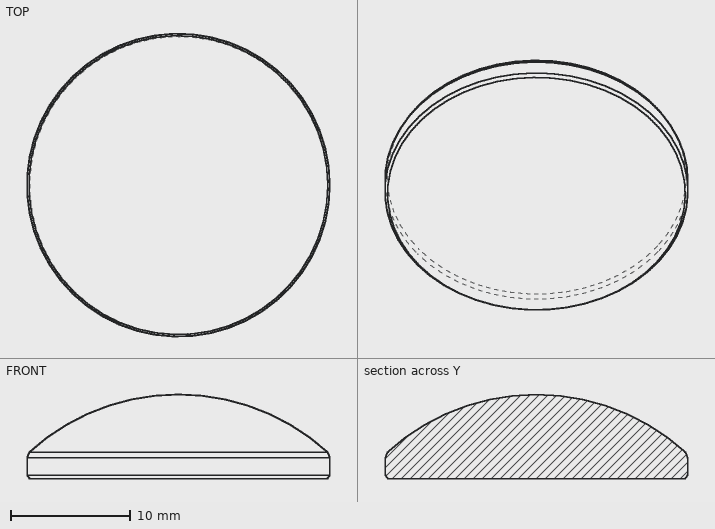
import cadquery as cq

diameter = 25.4
height = 7.09
radius = diameter / 2

bottom_edge_height = 0.3
bottom_edge_inset = 0.23
wall_top = 1.78
top_edge_height = 0.45
top_edge_inset = 0.18

dome_base_radius = radius - top_edge_inset
dome_base_z = wall_top + top_edge_height
dome_rise = height - dome_base_z
sphere_radius = (dome_base_radius**2 + dome_rise**2) / (2 * dome_rise)
sphere_center_z = height - sphere_radius

dome_mid_x = dome_base_radius / 2
dome_mid_z = sphere_center_z + (sphere_radius**2 - dome_mid_x**2) ** 0.5

result = (
    cq.Workplane("XZ")
    .moveTo(0, 0)
    .lineTo(radius - bottom_edge_inset, 0)
    .lineTo(radius, bottom_edge_height)
    .lineTo(radius, wall_top)
    .lineTo(dome_base_radius, dome_base_z)
    .threePointArc((dome_mid_x, dome_mid_z), (0, height))
    .close()
    .revolve(360, (0, 0), (0, 1))
)